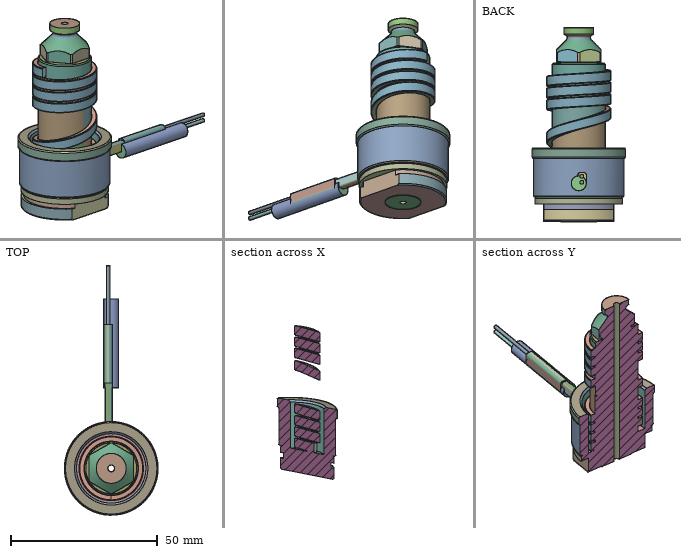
import cadquery as cq
import math

TOTAL_HEIGHT = 66.2
TOTAL_LENGTH = 85.0
BUTTON_HEIGHT = 0.25
GROOVE_BOTTOM = 4.3
RING_BOTTOM = 6.1
BODY_BOTTOM = 8.5
COLLAR_BOTTOM = 21.8
COLLAR_TOP = 25.3
SHAFT_TOP = 54.15
NUT_BOTTOM = 54.6
FLANGE_BOTTOM = 64.0

BUTTON_RADIUS = 6.1
BASE_RADIUS = 14.9
GROOVE_RADIUS = 14.0
RING_RADIUS = 15.0
BODY_RADIUS = 15.5
COLLAR_RADIUS = 16.0
CUP_RADIUS = 11.8
CUP_LIP_CHAMFER = 0.7
EDGE_CHAMFER = 0.4
BASE_FLAT_OFFSET = 12.0

SHAFT_RADIUS = 9.1
NECK_RADIUS = 6.1
BORE_RADIUS = 1.1
NUT_ACROSS_FLATS = 15.2
NUT_CORNER_RADIUS = 8.6
CONE_TOP_RADIUS = 4.3
CONE_ANGLE = math.radians(45)
CONE_TOP = 62.05
HEAD_GROOVE_RADIUS = 4.0
HEAD_GROOVE_TOP = 63.3
FLANGE_RADIUS = 5.1

SPRING_INNER_RADIUS = 9.0
SPRING_OUTER_RADIUS = 11.0
STRIP_HEIGHT = 3.5
STRIP_CHAMFER = 0.25
SPRING_TOP = 52.7
CLOSED_PITCH = 4.0
CLOSED_TURNS = 3.05
OPEN_TURNS = 1.2
OPEN_EXTRA_DROP = 11.7
SPRING_END_ANGLE = -90.0
POINTS_PER_TURN = 24

CABLE_Z = 14.6
CABLE_X = -0.85
CABLE_WIDTH = 2.5
CABLE_HEIGHT = 3.6
CABLE_CORNER = 0.5
CABLE_START = 13.6
WIRE_X = -1.0
WIRE_DIAMETER = 1.3
WIRE_SPACING = 2.0
WIRE_END = TOTAL_LENGTH - COLLAR_RADIUS
SLEEVE_X = -1.1
SLEEVE_WIDTH = 3.0
SLEEVE_HEIGHT = 4.7
SLEEVE_CORNER = 1.0
SLEEVE_START = 29.0
SLEEVE_END = 49.05
TUBE_RADIUS = 2.55
TUBE_Z = 13.3
TUBE_START = 27.4
TUBE_END = 57.7


def disc(radius, bottom, top):
    """Upright cylinder on the part axis."""
    return cq.Workplane("XY").workplane(offset=bottom).circle(radius).extrude(top - bottom)


def make_housing():
    """Flatted base, ring and collared cup."""
    base = disc(BASE_RADIUS, BUTTON_HEIGHT, GROOVE_BOTTOM).faces("<Z").chamfer(EDGE_CHAMFER)
    base = base.union(disc(GROOVE_RADIUS, GROOVE_BOTTOM, RING_BOTTOM))
    flat_block = cq.Workplane("XY").box(2 * BASE_FLAT_OFFSET, 2 * BASE_RADIUS, 2 * RING_BOTTOM)
    base = base.intersect(flat_block)

    ring = disc(RING_RADIUS, RING_BOTTOM, BODY_BOTTOM).faces(">Z").chamfer(EDGE_CHAMFER)
    body = disc(BODY_RADIUS, BODY_BOTTOM, COLLAR_BOTTOM).faces("<Z").chamfer(EDGE_CHAMFER)
    collar = disc(COLLAR_RADIUS, COLLAR_BOTTOM, COLLAR_TOP).faces("<Z or >Z").chamfer(EDGE_CHAMFER)
    button = disc(BUTTON_RADIUS, 0, BUTTON_HEIGHT)
    cup = disc(CUP_RADIUS, BODY_BOTTOM, COLLAR_TOP)
    housing = base.union(button).union(ring).union(body).union(collar).cut(cup)
    lip = cq.selectors.RadiusNthSelector(0)
    return housing.faces(">Z").edges(lip).chamfer(CUP_LIP_CHAMFER)


def make_shaft():
    """Plain shaft from the cup floor to the neck below the nut."""
    shaft = disc(SHAFT_RADIUS, BODY_BOTTOM, SHAFT_TOP).faces(">Z").chamfer(EDGE_CHAMFER)
    return shaft.union(disc(NECK_RADIUS, SHAFT_TOP, NUT_BOTTOM))


def make_head():
    """Hexagon nut with a 45 degree cone that blends into a groove below a round flange."""
    cone_bottom = CONE_TOP - (NUT_CORNER_RADIUS - CONE_TOP_RADIUS) * math.tan(CONE_ANGLE)
    fillet_radius = (CONE_TOP_RADIUS - HEAD_GROOVE_RADIUS) / (1 - math.cos(CONE_ANGLE))
    fillet_top = CONE_TOP + fillet_radius * math.sin(CONE_ANGLE)
    fillet_middle = (
        HEAD_GROOVE_RADIUS + fillet_radius * (1 - math.cos(CONE_ANGLE / 2)),
        fillet_top - fillet_radius * math.sin(CONE_ANGLE / 2),
    )
    turned = (
        cq.Workplane("XZ")
        .moveTo(0, NUT_BOTTOM)
        .lineTo(NUT_CORNER_RADIUS, NUT_BOTTOM)
        .lineTo(NUT_CORNER_RADIUS, cone_bottom)
        .lineTo(CONE_TOP_RADIUS, CONE_TOP)
        .threePointArc(fillet_middle, (HEAD_GROOVE_RADIUS, fillet_top))
        .lineTo(HEAD_GROOVE_RADIUS, HEAD_GROOVE_TOP)
        .lineTo(FLANGE_RADIUS, FLANGE_BOTTOM)
        .lineTo(FLANGE_RADIUS, TOTAL_HEIGHT)
        .lineTo(0, TOTAL_HEIGHT)
        .close()
        .revolve(360, (0, 0, 0), (0, 1, 0))
    )
    hexagon = (
        cq.Workplane("XY")
        .workplane(offset=NUT_BOTTOM)
        .transformed(rotate=(0, 0, 30))
        .polygon(6, NUT_ACROSS_FLATS / math.cos(math.pi / 6))
        .extrude(TOTAL_HEIGHT - NUT_BOTTOM)
    )
    return turned.intersect(hexagon)


def spring_drop(turn):
    """Fall of the strip below its upper end after the given number of turns."""
    open_part = min(max((turn - CLOSED_TURNS) / OPEN_TURNS, 0), 1)
    blend = open_part**2 * (3 - 2 * open_part)
    return CLOSED_PITCH * turn + OPEN_EXTRA_DROP * blend


def strip_edge(radius, height, first_turn, last_turn):
    """Long edge of the strip at one corner of its section."""
    count = math.ceil((last_turn - first_turn) * POINTS_PER_TURN)
    points = []
    for i in range(count + 1):
        turn = first_turn + (last_turn - first_turn) * i / count
        angle = math.radians(SPRING_END_ANGLE) - 2 * math.pi * turn
        z = SPRING_TOP - spring_drop(turn) + height
        points.append(cq.Vector(radius * math.cos(angle), radius * math.sin(angle), z))
    return cq.Edge.makeSpline(points)


def make_spring():
    """Flat-strip spring with chamfered edges, built from ruled faces between its long edges."""
    last_turn = 2 * CLOSED_TURNS + OPEN_TURNS
    section = [
        (SPRING_INNER_RADIUS, -STRIP_CHAMFER),
        (SPRING_INNER_RADIUS + STRIP_CHAMFER, 0),
        (SPRING_OUTER_RADIUS - STRIP_CHAMFER, 0),
        (SPRING_OUTER_RADIUS, -STRIP_CHAMFER),
        (SPRING_OUTER_RADIUS, STRIP_CHAMFER - STRIP_HEIGHT),
        (SPRING_OUTER_RADIUS - STRIP_CHAMFER, -STRIP_HEIGHT),
        (SPRING_INNER_RADIUS + STRIP_CHAMFER, -STRIP_HEIGHT),
        (SPRING_INNER_RADIUS, STRIP_CHAMFER - STRIP_HEIGHT),
    ]
    edges = [strip_edge(radius, height, 0, last_turn) for radius, height in section]
    faces = []
    for edge, next_edge in zip(edges, edges[1:] + edges[:1]):
        faces.append(cq.Face.makeRuledSurface(edge, next_edge))
    for get_corner in (cq.Edge.startPoint, cq.Edge.endPoint):
        corners = [get_corner(edge) for edge in edges]
        faces.append(cq.Face.makeFromWires(cq.Wire.makePolygon(corners, close=True)))
    solid = cq.Solid.makeSolid(cq.Shell.makeShell(faces))
    return cq.Workplane(solid.fix())


def along_y(x, z, start):
    """Workplane facing +Y, centred on the given X and Z."""
    plane = cq.Plane(origin=(x, start, z), xDir=(-1, 0, 0), normal=(0, 1, 0))
    return cq.Workplane(plane)


def rounded_bar(x, width, height, corner, start, end):
    """Rectangular bar along Y with rounded long edges."""
    bar = along_y(x, CABLE_Z, start).rect(width, height).extrude(end - start)
    return bar.edges("|Y").fillet(corner)


def make_cable():
    """Twin-wire cable with a rounded sleeve and a round tube beside it."""
    cable = rounded_bar(CABLE_X, CABLE_WIDTH, CABLE_HEIGHT, CABLE_CORNER, CABLE_START, SLEEVE_START)
    sleeve = rounded_bar(SLEEVE_X, SLEEVE_WIDTH, SLEEVE_HEIGHT, SLEEVE_CORNER, SLEEVE_START, SLEEVE_END)
    tube = along_y(0, TUBE_Z, TUBE_START).circle(TUBE_RADIUS).extrude(TUBE_END - TUBE_START)
    cable = cable.union(sleeve).union(tube)
    for side in (-1, 1):
        wire_z = CABLE_Z + side * WIRE_SPACING / 2
        wire = along_y(WIRE_X, wire_z, SLEEVE_START).circle(WIRE_DIAMETER / 2)
        cable = cable.union(wire.extrude(WIRE_END - SLEEVE_START))
    return cable


result = (
    make_housing()
    .union(make_shaft())
    .union(make_head())
    .union(make_spring())
    .union(make_cable())
    .cut(disc(BORE_RADIUS, 0, TOTAL_HEIGHT))
)